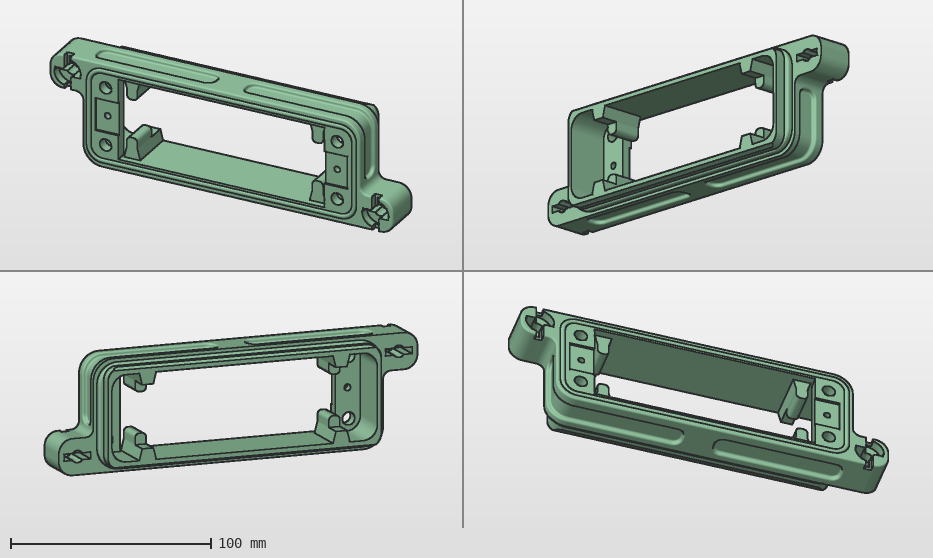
import cadquery as cq
import math

LENGTH = 193.0
HEIGHT = 58.0
BACK_Y = 14.9
FRONT_Y = -14.9
TOP_Z = HEIGHT / 2

FACE_Y = -14.0
BODY_BACK_Y = 6.2
BODY_X = 78.0
BODY_CORNER_R = 10.8
LUG_HEIGHT = 19.0
LUG_CORNER_R = 7.3
LUG_ROOT_R = 4.0
FRONT_EDGE_FILLET = 1.0

FLANGE_X = 76.0
FLANGE_Z = 27.2
FLANGE_BACK_Y = 9.3
FLANGE_FILLET = 1.2
COLLAR_X = 73.5
COLLAR_Z = 26.0
COLLAR_CORNER_R = 6.5
COLLAR_BEVEL_Z = 1.2
COLLAR_BEVEL_Y = 2.7

BEAD_X = 76.0
BEAD_Z = 26.6
BEAD_WIDTH = 3.0
BEAD_CORNER_R = 9.0

WINDOW_X = 57.9
WINDOW_Z = 22.4
PLATE_BACK_Y = -8.0
CAVITY_X = 71.5
CAVITY_CORNER_R = 7.7

PLATE_HOLE_X = 65.0
PLATE_HOLE_Z = 16.0
PLATE_HOLE_D = 6.5
SMALL_HOLE_X = 64.5
SMALL_HOLE_D = 3.3
RECESS_END_X = 70.8
RECESS_HEIGHT = 18.1
RECESS_DEPTH = 1.2

TAB_X = 52.1
TAB_WIDTH = 6.0
TAB_ROOT_WIDTH = 9.0
TAB_FLARE_Z = 16.5
TAB_TIP_Z = 10.6
TAB_TIP_R = 2.3
TAB_FRONT_Y = -10.2
TAB_STEP_Y = 5.2

BAYONET_X = 86.5
BAYONET_Z = TOP_Z - LUG_HEIGHT / 2
BAYONET_HOLE_D = 6.2
BAYONET_SLOT_LENGTH = 14.3
BAYONET_SLOT_HEIGHT = 3.5
BAYONET_SECTOR_R = 7.5
CROSS_SLOT_WIDTH = 3.9
CROSS_SLOT_DEPTH = 3.7
INNER_SLOT_WIDTH = 1.7
SECTOR_DEPTH = 5.0

POCKET_DEPTH = 2.3
POCKET_ROUNDING = 1.0
POCKET_WIDTH = 10.6
POCKET_MID_Y = -3.0
POCKET_CORNER_R = 4.2
POCKET_NEAR_X = 8.3
POCKET_FAR_X = 74.9
POCKET_SIDE_END_Z = -5.6

OVERCUT = 2.0
MATCH_GAP = 0.02


def xz_plane(y):
    """Plane at y with local x = X and local y = Z; positive extrusion runs toward -Y."""
    return cq.Workplane("XZ", origin=(0, y, 0))


def block(half_x, half_z, y_from, y_to, corner_r):
    """Centred block between two Y levels with rounded corners in the XZ plane."""
    return (
        xz_plane(y_to)
        .rect(2 * half_x, 2 * half_z)
        .extrude(y_to - y_from)
        .edges("|Y")
        .fillet(corner_r)
    )


def half_turn(shape):
    return shape.rotate((0, 0, 0), (0, 1, 0), 180)


def with_half_turn(shape):
    return shape.union(half_turn(shape))


def fillet_at(solid, points, radius):
    """Fillet the Y-parallel edges that pass through the given XZ points."""

    def is_wanted(edge):
        centre = edge.Center()
        return any(math.hypot(centre.x - x, centre.z - z) < MATCH_GAP for x, z in points)

    return solid.edges("|Y").filter(is_wanted).fillet(radius)


def make_body():
    lug_x = LENGTH / 2
    lug_z = TOP_Z - LUG_HEIGHT
    half_outline = [(-BODY_X, lug_z), (-lug_x, lug_z), (-lug_x, TOP_Z), (BODY_X, TOP_Z)]
    outline = half_outline + [(-x, -z) for x, z in half_outline]
    body = xz_plane(BODY_BACK_Y).polyline(outline).close().extrude(BODY_BACK_Y - FACE_Y)
    body = fillet_at(body, [(BODY_X, TOP_Z), (-BODY_X, -TOP_Z)], BODY_CORNER_R)
    body = fillet_at(body, [(-BODY_X, lug_z), (BODY_X, -lug_z)], LUG_ROOT_R)
    lug_corners = [(-lug_x, TOP_Z), (-lug_x, lug_z), (lug_x, -TOP_Z), (lug_x, -lug_z)]
    body = fillet_at(body, lug_corners, LUG_CORNER_R)
    return body.faces("<Y").edges().fillet(FRONT_EDGE_FILLET)


def make_flange():
    flange = block(FLANGE_X, FLANGE_Z, BODY_BACK_Y, FLANGE_BACK_Y, BODY_CORNER_R)
    return flange.faces(">Y").edges().fillet(FLANGE_FILLET)


def make_collar():
    collar = block(COLLAR_X, COLLAR_Z, BODY_BACK_Y, BACK_Y, COLLAR_CORNER_R)
    bevel_z = COLLAR_Z - COLLAR_BEVEL_Z
    section = (
        cq.Workplane("YZ", origin=(-COLLAR_X, 0, 0))
        .polyline([
            (BODY_BACK_Y, COLLAR_Z),
            (BACK_Y - COLLAR_BEVEL_Y, COLLAR_Z),
            (BACK_Y, bevel_z),
            (BACK_Y, -bevel_z),
            (BACK_Y - COLLAR_BEVEL_Y, -COLLAR_Z),
            (BODY_BACK_Y, -COLLAR_Z),
        ])
        .close()
        .extrude(2 * COLLAR_X)
    )
    return collar.intersect(section)


def make_bead():
    """Round bead running around the front face, with only its crest standing proud."""
    bead_r = BEAD_WIDTH / 2
    centre_x = BEAD_X - bead_r
    centre_z = BEAD_Z - bead_r
    centre_y = FRONT_Y + bead_r
    core = block(centre_x, centre_z, centre_y, BODY_BACK_Y, BEAD_CORNER_R - bead_r)
    path = core.faces("<Y").wires()
    section = cq.Workplane("YZ", origin=(0, centre_y, centre_z)).circle(bead_r)
    return section.sweep(path)


def make_tab(x, side):
    """Tab on the upper (side = 1) or lower (side = -1) window wall."""
    root_z = WINDOW_Z + OVERCUT
    half_root = TAB_ROOT_WIDTH / 2
    half_width = TAB_WIDTH / 2
    root_points = [
        (x - half_root, side * root_z),
        (x - half_root, side * WINDOW_Z),
        (x - half_width, side * TAB_FLARE_Z),
        (x + half_width, side * TAB_FLARE_Z),
        (x + half_root, side * WINDOW_Z),
        (x + half_root, side * root_z),
    ]
    root = xz_plane(BACK_Y).polyline(root_points).close().extrude(BACK_Y - TAB_FRONT_Y)
    tip_length = root_z - TAB_TIP_Z
    tip = (
        xz_plane(TAB_STEP_Y)
        .center(x, side * (TAB_TIP_Z + tip_length / 2))
        .rect(TAB_WIDTH, tip_length)
        .extrude(TAB_STEP_Y - TAB_FRONT_Y)
        .edges("|Y")
        .edges("<Z" if side > 0 else ">Z")
        .fillet(TAB_TIP_R)
    )
    return root.union(tip)


def make_window():
    depth = BACK_Y - FRONT_Y + 2 * OVERCUT
    through = xz_plane(BACK_Y + OVERCUT).rect(2 * WINDOW_X, 2 * WINDOW_Z).extrude(depth)
    cavity = block(CAVITY_X, WINDOW_Z, PLATE_BACK_Y, BACK_Y + OVERCUT, CAVITY_CORNER_R)
    return through.union(cavity)


def make_plate_cuts():
    """Holes and recess of the left end plate."""
    depth = PLATE_BACK_Y - FACE_Y + 2 * OVERCUT
    back = xz_plane(PLATE_BACK_Y + OVERCUT)
    hole_centres = [(-PLATE_HOLE_X, PLATE_HOLE_Z), (-PLATE_HOLE_X, -PLATE_HOLE_Z)]
    holes = back.pushPoints(hole_centres).circle(PLATE_HOLE_D / 2).extrude(depth)
    small_hole = back.pushPoints([(-SMALL_HOLE_X, 0)]).circle(SMALL_HOLE_D / 2).extrude(depth)
    recess = (
        xz_plane(FACE_Y + RECESS_DEPTH)
        .center(-(RECESS_END_X + WINDOW_X) / 2, 0)
        .rect(RECESS_END_X - WINDOW_X, RECESS_HEIGHT)
        .extrude(RECESS_DEPTH)
    )
    return holes.union(small_hole).union(recess)


def make_bayonet():
    """Keyhole through the left lug, with stepped cross slots and two quarter-round recesses."""
    through = BODY_BACK_Y - FACE_Y + 2 * OVERCUT
    back = xz_plane(BODY_BACK_Y + OVERCUT).center(-BAYONET_X, BAYONET_Z)
    keyhole = back.circle(BAYONET_HOLE_D / 2).extrude(through)
    keyhole = keyhole.union(back.rect(BAYONET_SLOT_LENGTH, BAYONET_SLOT_HEIGHT).extrude(through))

    floor = xz_plane(FACE_Y + CROSS_SLOT_DEPTH).center(-BAYONET_X, BAYONET_Z)
    cross = floor.rect(CROSS_SLOT_WIDTH, LUG_HEIGHT + OVERCUT).extrude(CROSS_SLOT_DEPTH + OVERCUT)
    cuts = keyhole.union(cross)

    deep_floor = xz_plane(FACE_Y + SECTOR_DEPTH).center(-BAYONET_X, BAYONET_Z)
    inner_slot = deep_floor.rect(INNER_SLOT_WIDTH, 2 * BAYONET_SECTOR_R).extrude(SECTOR_DEPTH)
    cuts = cuts.union(inner_slot)
    diagonal = BAYONET_SECTOR_R * math.sqrt(0.5)
    for side in (1, -1):
        sector = (
            deep_floor.moveTo(0, 0)
            .lineTo(side * BAYONET_SECTOR_R, 0)
            .threePointArc((side * diagonal, side * diagonal), (0, side * BAYONET_SECTOR_R))
            .close()
            .extrude(SECTOR_DEPTH)
        )
        cuts = cuts.union(sector)
    return cuts


def make_top_pocket():
    """Pocket in the top wall on the lug side."""
    mid_x = -(POCKET_NEAR_X + POCKET_FAR_X) / 2
    return (
        cq.Workplane("XY", origin=(mid_x, POCKET_MID_Y, TOP_Z - POCKET_DEPTH))
        .rect(POCKET_FAR_X - POCKET_NEAR_X, POCKET_WIDTH)
        .extrude(POCKET_DEPTH + OVERCUT)
        .edges("|Z")
        .fillet(POCKET_CORNER_R)
    )


def make_corner_pocket():
    """Pocket that starts on the top wall, wraps the rounded corner and ends on the +X wall."""
    outer_x = BODY_X + OVERCUT
    outer_z = TOP_Z + OVERCUT
    blank = (
        xz_plane(POCKET_MID_Y + POCKET_WIDTH / 2)
        .moveTo(POCKET_NEAR_X, POCKET_SIDE_END_Z)
        .lineTo(outer_x, POCKET_SIDE_END_Z)
        .lineTo(outer_x, outer_z)
        .lineTo(POCKET_NEAR_X, outer_z)
        .close()
        .extrude(POCKET_WIDTH)
    )
    blank = blank.edges("|Z").edges("<X").fillet(POCKET_CORNER_R)
    blank = blank.edges("|X").edges("<Z").fillet(POCKET_CORNER_R)
    floor_x = BODY_X - POCKET_DEPTH
    floor_z = TOP_Z - POCKET_DEPTH
    core = block(floor_x, floor_z, FACE_Y, BODY_BACK_Y, BODY_CORNER_R - POCKET_DEPTH)
    return blank.cut(core)


def is_pocket_edge(edge):
    """True for pocket edges, leaving out smooth seams that cross the whole pocket floor."""
    in_band = abs(edge.Center().y - POCKET_MID_Y) < POCKET_WIDTH / 2 + MATCH_GAP
    along_y = abs(edge.tangentAt(0.5).y) > 2 - MATCH_GAP
    crosses_floor = along_y and edge.Length() > POCKET_WIDTH - MATCH_GAP
    return in_band and not crosses_floor


def make_pocketed_body():
    body = make_body()
    pockets = make_top_pocket().union(make_corner_pocket())
    body = body.cut(with_half_turn(pockets))
    return body.edges().filter(is_pocket_edge).fillet(POCKET_ROUNDING)


result = make_pocketed_body().union(make_flange()).union(make_collar()).union(make_bead())
result = result.cut(make_window())
for tab_x in (-TAB_X, TAB_X):
    for tab_side in (1, -1):
        result = result.union(make_tab(tab_x, tab_side))
for feature in (make_plate_cuts(), make_bayonet()):
    result = result.cut(with_half_turn(feature))